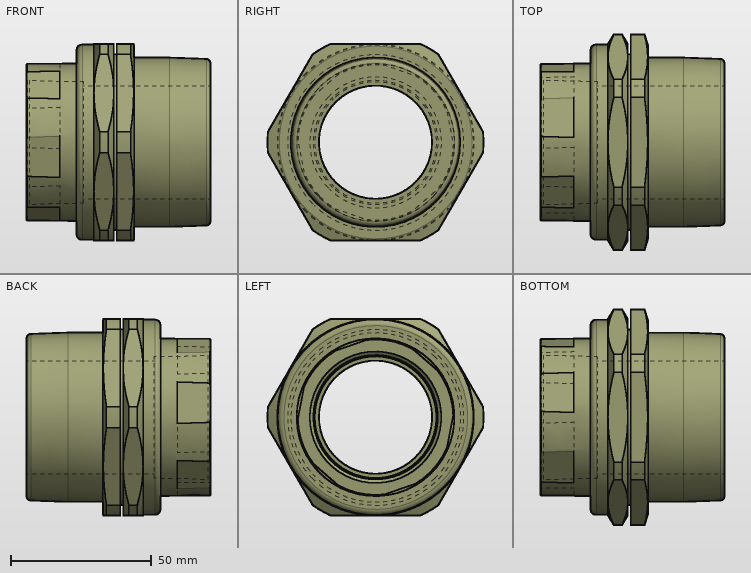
import cadquery as cq

flat_length = 11.9
collar_start = 17.8
collar_end = 24.0
nut_end = 31.1
locknut_start = 32.1
locknut_end = 38.3
taper_start = 50.7
total_length = 65.5

socket_radius = 28.1
socket_mouth_radius = 27.9
collar_radius = 34.8
neck_radius = 31.3
spigot_radius = 30.2
spigot_end_radius = 29.6
collar_round = 2.1
spigot_round = 1.6
socket_edge_depth = 0.3
socket_edge_height = 0.3

flat_count = 6
flat_distance = 27.0
flat_angle = 11

hexagon_sides = 6
across_flats = 70
corner_radius = 38.5
corner_angle = 180 / hexagon_sides
nut_bevel_depth = 2.1
nut_bevel_radius = across_flats / 2
locknut_bevel_depth = 1.3
locknut_bevel_radius = 34.3

through_radius = 20.1
seat_depth = 20.2
seat_radius = 21.6
mouth_radius = 22.2
bevel_radius = 23.4
bevel_depth = 1.0


def revolve_about_x(points):
    """Revolve a closed outline of (x, radius) points around the X axis."""
    return cq.Workplane("XY").polyline(points).close().revolve(360, (0, 0, 0), (1, 0, 0))


def cylinder(start, end, radius):
    return cq.Workplane("YZ", origin=(start, 0, 0)).circle(radius).extrude(end - start)


def hexagon(start, end):
    """Hexagonal prism along X, with corners on the Y axis and flats facing up and down."""
    return (
        cq.Workplane("YZ", origin=(start, 0, 0))
        .polygon(hexagon_sides, across_flats, circumscribed=True)
        .extrude(end - start)
        .rotate((0, 0, 0), (1, 0, 0), corner_angle)
    )


def make_socket():
    socket = revolve_about_x([
        (0, 0),
        (0, socket_mouth_radius - socket_edge_height),
        (socket_edge_depth, socket_mouth_radius),
        (collar_start, socket_radius),
        (collar_start, 0),
    ])
    for index in range(flat_count):
        flat_cutter = cq.Workplane("XY").box(
            flat_length, socket_radius, 2 * socket_radius, centered=(False, False, True)
        )
        flat_cutter = flat_cutter.translate((0, flat_distance, 0))
        angle = flat_angle + index * 360 / flat_count
        socket = socket.cut(flat_cutter.rotate((0, 0, 0), (1, 0, 0), angle))
    return socket


def make_collar():
    return cylinder(collar_start, collar_end, collar_radius).faces("<X").edges().fillet(collar_round)


def make_nut():
    """Hexagon with its corners bevelled at both ends."""
    envelope = revolve_about_x([
        (collar_end, 0),
        (collar_end, nut_bevel_radius),
        (collar_end + nut_bevel_depth, corner_radius),
        (nut_end - nut_bevel_depth, corner_radius),
        (nut_end, nut_bevel_radius),
        (nut_end, 0),
    ])
    return hexagon(collar_end, nut_end).intersect(envelope)


def make_locknut():
    """Hexagon with its corners bevelled at the spigot end only."""
    envelope = revolve_about_x([
        (locknut_start, 0),
        (locknut_start, corner_radius),
        (locknut_end - locknut_bevel_depth, corner_radius),
        (locknut_end, locknut_bevel_radius),
        (locknut_end, 0),
    ])
    return hexagon(locknut_start, locknut_end).intersect(envelope)


def make_spigot():
    spigot = revolve_about_x([
        (locknut_end, 0),
        (locknut_end, spigot_radius),
        (taper_start, spigot_radius),
        (total_length, spigot_end_radius),
        (total_length, 0),
    ])
    return spigot.faces(">X").edges().fillet(spigot_round)


def make_bore():
    """Bevelled, tapering mouth down to a seat, then a plain hole to the far end."""
    return revolve_about_x([
        (0, 0),
        (0, bevel_radius),
        (bevel_depth, mouth_radius),
        (seat_depth, seat_radius),
        (seat_depth, through_radius),
        (total_length, through_radius),
        (total_length, 0),
    ])


neck = cylinder(nut_end, locknut_start, neck_radius)
body = make_socket().union(make_collar()).union(make_nut()).union(neck)
body = body.union(make_locknut()).union(make_spigot())
result = body.cut(make_bore())